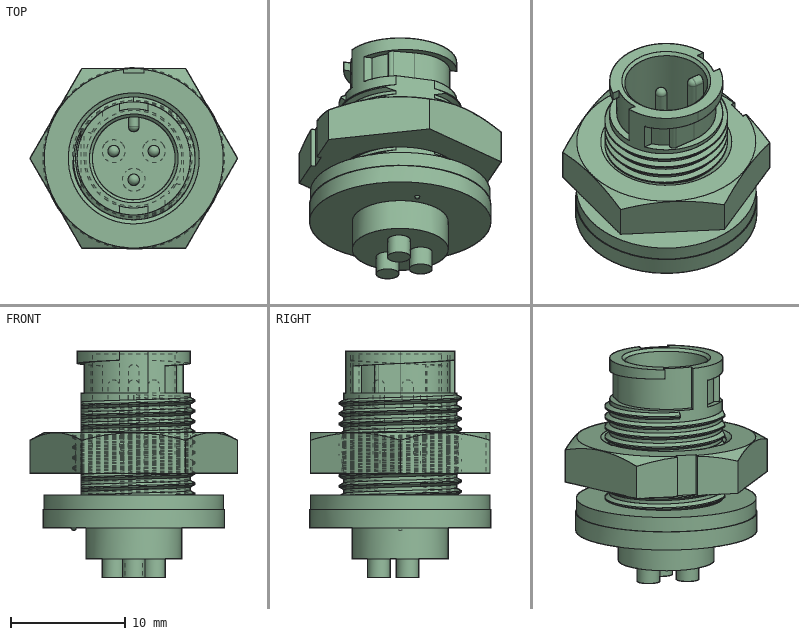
import cadquery as cq
import math


thread_length = 8.90
collar_height = 3.67
shoulder_z = thread_length
rim_z = shoulder_z + collar_height
bore_depth = 9.0
bore_floor_z = rim_z - bore_depth

gasket_dia = 15.74
gasket_thickness = 1.28
flange_dia = 15.88
flange_thickness = 1.62
flange_bottom_z = -gasket_thickness - flange_thickness
insulator_dia = 8.40
insulator_length = 2.70
insulator_bottom_z = flange_bottom_z - insulator_length
contact_dia = 2.0
contact_length = 1.65
contact_bottom_z = insulator_bottom_z - contact_length
mark_radius = 0.22
mark_x = -5.25

barrel_r = 4.95
bore_r = 3.62
bore_chamfer = 0.26
flat_x = -4.63

thread_pitch = 25.4 / 28
thread_crest_r = 5.37
thread_crest_width = thread_pitch / 8
thread_embed = 0.1
thread_flank = (thread_crest_r - barrel_r + thread_embed) * math.tan(math.radians(30))
thread_turns = 10
thread_top_z = 8.46
thread_end_angle = 90

track_floor_r = 4.34
track_lead = 1.39
slot_width = 2.52
track_end_x = -2.73
track_entry_drop = 0.79
channel_start_angle = 100
channel_sweep = 160
channel_overlap = 0.2
detent_radius = 0.37
detent_length = 1.90
cut_r = 6.0

pin_circle_r = 1.87
pin_angles = (20, 160, 270)
pin_dia = 1.0
pin_tip_drop = 2.52
key_radius = 0.48
key_axis_y = 2.81
key_top_drop = 1.17

nut_across_flats = 15.74
nut_bottom_z = 1.88
nut_thickness = 3.57
nut_top_z = nut_bottom_z + nut_thickness
nut_chamfer_r = 7.83
nut_chamfer_drop = 0.68
nut_bore_r = 5.09
nut_countersink_r = 5.73
nut_countersink_slope = 30
tap_overrun = 0.2
notch_width = 1.80
notch_depth = 0.39


def cylinder(radius, bottom_z, top_z):
    return cq.Workplane("XY").workplane(offset=bottom_z).circle(radius).extrude(top_z - bottom_z)


def cone(bottom_radius, top_radius, bottom_z, top_z):
    solid = cq.Solid.makeCone(bottom_radius, top_radius, top_z - bottom_z)
    return cq.Workplane(solid).translate((0, 0, bottom_z))


def ball(radius, x, y, z):
    return cq.Workplane("XY").sphere(radius).translate((x, y, z))


def block(x_min, x_max, y_min, y_max, z_min, z_max):
    size = (x_max - x_min, y_max - y_min, z_max - z_min)
    return cq.Workplane("XY").box(*size, centered=False).translate((x_min, y_min, z_min))


def helical_sweep(profile_points, radius, pitch, height):
    """Sweep an (X, Z) profile up a right-hand helix that starts on the +X axis."""
    helix = cq.Workplane(cq.Wire.makeHelix(pitch, height, radius))
    return cq.Workplane("XZ").polyline(profile_points).close().sweep(helix, isFrenet=True)


def thread_ridge():
    base_r = barrel_r - thread_embed
    half_crest = thread_crest_width / 2
    half_base = half_crest + thread_flank
    profile = [
        (base_r, -half_base),
        (thread_crest_r, -half_crest),
        (thread_crest_r, half_crest),
        (base_r, half_base),
    ]
    height = thread_turns * thread_pitch
    ridge = helical_sweep(profile, barrel_r, thread_pitch, height)
    ridge = ridge.rotate((0, 0, 0), (0, 0, 1), thread_end_angle)
    return ridge.translate((0, 0, thread_top_z - height))


def threaded_barrel():
    """Barrel with its thread, trimmed at the flange top."""
    above_flange = cylinder(cut_r, 0, rim_z)
    return cylinder(barrel_r, 0, rim_z).union(thread_ridge().intersect(above_flange))


def bayonet_track():
    """Entry slot on the -Y side with a locking channel that runs round the -X side."""
    slot = block(-slot_width / 2, slot_width / 2, -cut_r, 0, shoulder_z, rim_z)
    entry_angle = 180 + math.degrees(math.acos(slot_width / 2 / barrel_r))
    start_z = rim_z - track_entry_drop - track_lead * (entry_angle - channel_start_angle) / 360
    channel_inner_r = track_floor_r - channel_overlap
    section = [
        (channel_inner_r, -collar_height),
        (cut_r, -collar_height),
        (cut_r, 0),
        (channel_inner_r, 0),
    ]
    channel = helical_sweep(section, track_floor_r, track_lead, track_lead * channel_sweep / 360)
    channel = channel.rotate((0, 0, 0), (0, 0, 1), channel_start_angle).translate((0, 0, start_z))
    locked_side = block(-cut_r, track_end_x, 0, cut_r, shoulder_z, rim_z)
    entry_side = block(-cut_r, 0, -cut_r, 0, shoulder_z, rim_z)
    channel = channel.intersect(locked_side.union(entry_side))

    detent_x = detent_radius - track_floor_r
    detent = block(-track_floor_r, detent_x, 0, detent_length, shoulder_z, rim_z)
    detent_end = cylinder(detent_radius, shoulder_z, rim_z).translate((detent_x, detent_length, 0))
    floor = cylinder(track_floor_r, shoulder_z, rim_z).union(detent).union(detent_end)
    return slot.union(channel).cut(floor)


def mating_bore():
    bore = cylinder(bore_r, bore_floor_z, rim_z)
    return bore.union(cone(bore_r, bore_r + bore_chamfer, rim_z - bore_chamfer, rim_z))


def pin(angle):
    """Rear solder contact and round-tipped front pin on one axis."""
    x = pin_circle_r * math.cos(math.radians(angle))
    y = pin_circle_r * math.sin(math.radians(angle))
    tip_z = rim_z - pin_tip_drop - pin_dia / 2
    rear = cylinder(contact_dia / 2, contact_bottom_z, insulator_bottom_z)
    front = cylinder(pin_dia / 2, bore_floor_z, tip_z).union(ball(pin_dia / 2, 0, 0, tip_z))
    return [length.translate((x, y, 0)) for length in (rear, front)]


def keying_rib():
    """Upright rib on the +Y wall of the bore, rounded along its top and its inner end."""
    axis_z = rim_z - key_top_drop - key_radius
    wall_y = (bore_r + track_floor_r) / 2
    rib = block(-key_radius, key_radius, key_axis_y, wall_y, bore_floor_z, axis_z)
    nose = cylinder(key_radius, bore_floor_z, axis_z).translate((0, key_axis_y, 0))
    ridge = cq.Workplane("XZ", origin=(0, wall_y, axis_z)).circle(key_radius).extrude(wall_y - key_axis_y)
    tip = ball(key_radius, 0, key_axis_y, axis_z)
    return rib.union(nose).union(ridge).union(tip)


def make_shell():
    shell = threaded_barrel().cut(block(-cut_r, flat_x, -cut_r, cut_r, 0, shoulder_z))
    for turn in (0, 180):
        shell = shell.cut(bayonet_track().rotate((0, 0, 0), (0, 0, 1), turn))
    shell = shell.cut(mating_bore())
    shell = shell.union(cylinder(gasket_dia / 2, -gasket_thickness, 0))
    shell = shell.union(cylinder(flange_dia / 2, flange_bottom_z, -gasket_thickness))
    shell = shell.union(cylinder(insulator_dia / 2, insulator_bottom_z, flange_bottom_z))
    shell = shell.union(ball(mark_radius, mark_x, 0, flange_bottom_z))
    for angle in pin_angles:
        for part in pin(angle):
            shell = shell.union(part)
    return shell.union(keying_rib())


def tapped_bore():
    """Cutter for the nut bore and its thread groove; it overruns both nut faces."""
    bottom_z = nut_bottom_z - tap_overrun
    top_z = nut_top_z + tap_overrun
    groove = thread_ridge().intersect(cylinder(cut_r, bottom_z, top_z))
    return cylinder(nut_bore_r, bottom_z - tap_overrun, top_z + tap_overrun).union(groove)


def make_nut():
    corner_r = nut_across_flats / 2 / math.cos(math.radians(30))
    nut = cq.Workplane("XY").workplane(offset=nut_bottom_z).polygon(6, 2 * corner_r).extrude(nut_thickness)
    chamfer_cone = (
        cq.Workplane("XZ")
        .moveTo(0, nut_bottom_z)
        .lineTo(corner_r, nut_bottom_z)
        .lineTo(corner_r, nut_top_z - nut_chamfer_drop)
        .lineTo(nut_chamfer_r, nut_top_z)
        .lineTo(0, nut_top_z)
        .close()
        .revolve(360, (0, 0, 0), (0, 1, 0))
    )
    countersink_depth = (nut_countersink_r - nut_bore_r) * math.tan(math.radians(nut_countersink_slope))
    countersink = cone(nut_bore_r, nut_countersink_r, nut_top_z - countersink_depth, nut_top_z)
    flat_y = nut_across_flats / 2
    notch = block(
        -notch_width / 2, notch_width / 2, flat_y - notch_depth, flat_y, nut_bottom_z, nut_top_z
    )
    return nut.intersect(chamfer_cone).cut(countersink).cut(tapped_bore()).cut(notch)


shell = make_shell()
nut = make_nut()
result = cq.Compound.makeCompound([shell.val(), nut.val()])